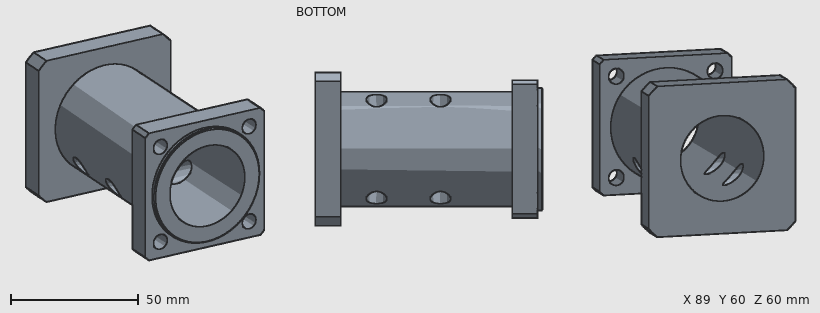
import cadquery as cq
import math

flange_thickness = 10.0
tube_length = 67.0
spigot_length = 2.0

front_flange_size = 60.0
front_corner_diameter = 80.0
rear_flange_size = 54.0
rear_corner_diameter = 74.0

tube_diameter = 45.0
bore_diameter = 34.0

spigot_diameter = 48.0
spigot_chamfer = 0.5

mount_hole_diameter = 6.2
mount_circle_diameter = 57.0
mount_hole_spacing = mount_circle_diameter / math.sqrt(2)

cross_hole_diameter = 8.0
first_cross_hole_x = 24.0
cross_hole_pitch = 25.0
cross_hole_count = 2
cross_hole_z = -tube_diameter / 4

tube_start = flange_thickness
rear_flange_start = tube_start + tube_length
spigot_start = rear_flange_start + flange_thickness
total_length = spigot_start + spigot_length


def cylinder_x(start, length, diameter):
    """Cylinder on the tube axis, growing along +X."""
    return cq.Workplane("YZ", origin=(start, 0, 0)).circle(diameter / 2).extrude(length)


def flange(start, size, corner_diameter):
    """Square plate with its corners turned down to a common diameter."""
    plate = cq.Workplane("YZ", origin=(start, 0, 0)).rect(size, size).extrude(flange_thickness)
    return plate.intersect(cylinder_x(start, flange_thickness, corner_diameter))


def spigot():
    """Locating spigot behind the rear flange, with a chamfered end."""
    return cylinder_x(spigot_start, spigot_length, spigot_diameter).faces(">X").chamfer(spigot_chamfer)


def mount_holes():
    """Four holes through the rear flange."""
    return (
        cq.Workplane("YZ", origin=(rear_flange_start, 0, 0))
        .rect(mount_hole_spacing, mount_hole_spacing, forConstruction=True)
        .vertices()
        .circle(mount_hole_diameter / 2)
        .extrude(flange_thickness)
    )


def cross_holes():
    """Row of holes through both walls of the tube."""
    centres = [(first_cross_hole_x + i * cross_hole_pitch, cross_hole_z) for i in range(cross_hole_count)]
    return (
        cq.Workplane("XZ")
        .pushPoints(centres)
        .circle(cross_hole_diameter / 2)
        .extrude(tube_diameter / 2, both=True)
    )


body = (
    flange(0, front_flange_size, front_corner_diameter)
    .union(cylinder_x(tube_start, tube_length, tube_diameter))
    .union(flange(rear_flange_start, rear_flange_size, rear_corner_diameter))
    .union(spigot())
)

result = (
    body
    .cut(cylinder_x(0, total_length, bore_diameter))
    .cut(mount_holes())
    .cut(cross_holes())
)